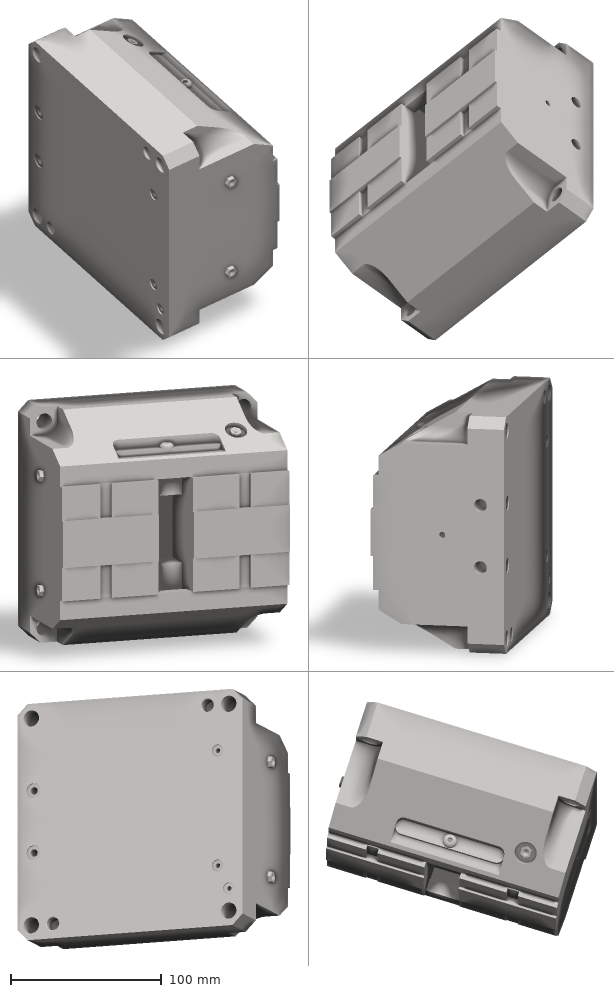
import cadquery as cq
import math

SIDE = 160.0
HALF = SIDE / 2
HEIGHT = 85.0
CORNER_CHAMFER = 7.3
SLOPE_START = 36.7
SLOPE_ANGLE = 30

BASE_THICKNESS = 24.8
BOLT_INSET = 10.0
BOLT_DIAMETER = 11.0
BOLT_RELIEF_RADIUS = 9.0
BOLT_OFFSET = HALF - BOLT_INSET

DRILL_POINT_ANGLE = 118
HOLE_DIAMETER = 8.6
FRONT_LOCATING_DEPTH = 9.8
FRONT_LOCATING_MOUTH = 9.5
FRONT_LOCATING_X = 55.0
SIDE_HOLE_DEPTH = 19.5
SIDE_HOLE_Y = 16.0
SIDE_HOLE_Z = 21.0
VENT_DIAMETER = 4.2
VENT_Y = 41.9
VENT_DEPTH = 4.9

SEAL_DEPTH = 1.0
LARGE_SEAL_DIAMETER = 10.0
LARGE_PORT_DIAMETER = 5.0
LARGE_PORT_X = -68.5
SMALL_SEAL_DIAMETER = 8.0
SMALL_PORT_DIAMETER = 3.3
SMALL_PORT_DEPTH = 6.5
SMALL_PORT_X = 62.1
AIR_Z = 39.0
CORNER_PORT_Z = -55.0

NIPPLE_ACROSS_FLATS = 6.8
NIPPLE_HEIGHT = 3.0
NIPPLE_BORE = 4.9
SIDE_NIPPLE_Y = 49.4
FLANK_NIPPLE_X = -50.9
FLANK_NIPPLE_Y = 64.9
FLANK_RECESS_DIAMETER = 15.0
FLANK_RECESS_DEPTH = 3.6

LEDGE_LENGTH = 75.3
LEDGE_Z = 53.6
PAD_Y = 70.7
PAD_WIDTH = 10.0
PAD_THICKNESS = 3.3
SCREW_DIAMETER = 9.5
SCREW_HEIGHT = 3.1
SCREW_LAND_DIAMETER = 4.9
SCREW_SOCKET = 3.3
SCREW_SOCKET_DEPTH = 2.0

JAW_INNER_X = 12.2
JAW_LENGTH = HALF - JAW_INNER_X
JAW_TOP = 88.7
JAW_NECK_WIDTH = 77.5
JAW_WING_WIDTH = 90.8
JAW_STEM_WIDTH = 46.5
WING_TOP = 76.3
WING_BOTTOM = 66.3
JAW_BOTTOM = 47.6
GUIDE_LIP_CHAMFER = 0.8
CROSS_NOTCH_X = 48.9
CROSS_NOTCH_WIDTH = 8.0
CROSS_NOTCH_FLOOR = 85.5

KEY_WIDTH = 31.6
KEY_TOP = 90.3
KEY_BOTTOM = 82.6


def box(x_range, y_range, z_range):
    """Box between pairs of X, Y and Z limits."""
    size = [high - low for low, high in (x_range, y_range, z_range)]
    corner = (x_range[0], y_range[0], z_range[0])
    return cq.Workplane("XY").box(*size, centered=False).translate(corner)


def drill_point(start, axis, diameter):
    """Cone left by a drill point, its base at the start point."""
    radius = diameter / 2
    length = radius / math.tan(math.radians(DRILL_POINT_ANGLE / 2))
    return cq.Solid.makeCone(radius, 0, length, start, axis)


def drill(point, direction, diameter, depth):
    """Tool for a blind hole with a conical bottom."""
    start = cq.Vector(*point)
    axis = cq.Vector(*direction)
    bore = cq.Solid.makeCylinder(diameter / 2, depth, start, axis)
    return cq.Workplane(bore.fuse(drill_point(start + axis * depth, axis, diameter)))


def round_cutter(point, direction, diameter, depth):
    """Tool for a flat-bottomed round hole."""
    return cq.Workplane(
        cq.Solid.makeCylinder(diameter / 2, depth, cq.Vector(*point), cq.Vector(*direction))
    )


def flank_z(y):
    """Height of the upper sloped flank at a given Y."""
    return HALF - (y - SLOPE_START) * math.tan(math.radians(SLOPE_ANGLE))


def guide_profile(top):
    """Closed T-shaped section in the YZ plane, shared by the guide and the jaws."""
    neck = JAW_NECK_WIDTH / 2
    wing = JAW_WING_WIDTH / 2
    stem = JAW_STEM_WIDTH / 2
    half_section = [
        (JAW_BOTTOM, stem),
        (WING_BOTTOM, stem),
        (WING_BOTTOM, wing),
        (WING_TOP, wing),
        (WING_TOP, neck + GUIDE_LIP_CHAMFER),
        (WING_TOP + GUIDE_LIP_CHAMFER, neck),
        (top, neck),
    ]
    mirrored = [(y, -z) for y, z in reversed(half_section)]
    return cq.Workplane("YZ").polyline(half_section + mirrored).close()


def housing_block():
    flank_top = flank_z(HEIGHT)
    section = [
        (0, -HALF),
        (SLOPE_START, -HALF),
        (HEIGHT, -flank_top),
        (HEIGHT, flank_top),
        (SLOPE_START, HALF),
        (0, HALF),
    ]
    block = cq.Workplane("YZ").polyline(section).close().extrude(HALF, both=True)
    outline = cq.Workplane("XZ").rect(SIDE, SIDE).extrude(-HEIGHT)
    return block.intersect(outline.edges("|Y").chamfer(CORNER_CHAMFER))


def bolt_cutter(x_sign, z_sign):
    """Bolt hole and the open relief above the base at one corner."""
    x = x_sign * BOLT_OFFSET
    z = z_sign * BOLT_OFFSET
    reach = BOLT_INSET + BOLT_RELIEF_RADIUS
    relief = (
        cq.Workplane("XZ", origin=(x_sign * HALF, BASE_THICKNESS, z_sign * HALF))
        .rect(2 * reach, 2 * reach)
        .extrude(-HEIGHT)
        .edges("|Y")
        .fillet(BOLT_RELIEF_RADIUS)
    )
    hole = round_cutter((x, 0, z), (0, 1, 0), BOLT_DIAMETER, HEIGHT)
    return relief.union(hole)


def locating_mouth(point):
    """45 degree chamfer at the mouth of a locating hole in the mounting face."""
    mouth = FRONT_LOCATING_MOUTH / 2
    cone = cq.Solid.makeCone(mouth, 0, mouth, cq.Vector(*point), cq.Vector(0, 1, 0))
    return cq.Workplane(cone)


def large_port_cutter(z):
    """Port with a seal recess, ending on the axis of a side hole."""
    start = (LARGE_PORT_X, 0, z)
    seal = round_cutter(start, (0, 1, 0), LARGE_SEAL_DIAMETER, SEAL_DEPTH)
    return seal.union(round_cutter(start, (0, 1, 0), LARGE_PORT_DIAMETER, SIDE_HOLE_Y))


def small_port_cutter(x, z):
    """Blind port with a seal recess."""
    start = (x, 0, z)
    seal = round_cutter(start, (0, 1, 0), SMALL_SEAL_DIAMETER, SEAL_DEPTH)
    return seal.union(drill(start, (0, 1, 0), SMALL_PORT_DIAMETER, SMALL_PORT_DEPTH))


def nipple(plane):
    """Hexagonal nipple standing on a plane, with a conical seat in its end."""
    across_corners = NIPPLE_ACROSS_FLATS / math.cos(math.radians(30))
    hexagon = cq.Workplane(plane).polygon(6, across_corners).extrude(NIPPLE_HEIGHT)
    end = plane.toWorldCoords((0, 0, NIPPLE_HEIGHT))
    seat = drill_point(end, -plane.zDir, NIPPLE_BORE)
    return hexagon.cut(cq.Workplane(seat))


def round_ended_block(height):
    """Round-ended block of the given height, standing on the ledge floor."""
    return (
        cq.Workplane("XY", origin=(0, PAD_Y, LEDGE_Z))
        .slot2D(LEDGE_LENGTH, PAD_WIDTH)
        .extrude(height)
    )


def ledge_cutter():
    """Ledge open towards the top of the flank, with rounded corners at its wall."""
    half_length = LEDGE_LENGTH / 2
    ledge = box((-half_length, half_length), (PAD_Y, HEIGHT), (LEDGE_Z, HALF))
    return ledge.union(round_ended_block(HALF - LEDGE_Z))


def button_screw():
    """Domed screw head with a hexagonal socket, standing on the pad."""
    floor = LEDGE_Z + PAD_THICKNESS
    top = floor + SCREW_HEIGHT
    radius = SCREW_DIAMETER / 2
    land = SCREW_LAND_DIAMETER / 2
    bulge = math.sqrt(0.5)
    dome_middle = (land + (radius - land) * bulge, floor + SCREW_HEIGHT * bulge)
    head = (
        cq.Workplane("XZ")
        .moveTo(0, floor)
        .lineTo(radius, floor)
        .threePointArc(dome_middle, (land, top))
        .lineTo(0, top)
        .close()
        .revolve(360, (0, 0), (0, 1))
        .translate((0, PAD_Y, 0))
    )
    socket = (
        cq.Workplane("XY", origin=(0, PAD_Y, top))
        .polygon(6, SCREW_SOCKET / math.cos(math.radians(30)))
        .extrude(-SCREW_SOCKET_DEPTH)
    )
    return head.cut(socket)


def make_housing():
    body = housing_block()
    body = body.cut(guide_profile(HEIGHT).extrude(HALF, both=True))

    for x_sign in (-1, 1):
        for z_sign in (-1, 1):
            body = body.cut(bolt_cutter(x_sign, z_sign))

    for sign in (-1, 1):
        front_point = (sign * FRONT_LOCATING_X, 0, sign * BOLT_OFFSET)
        hole = drill(front_point, (0, 1, 0), HOLE_DIAMETER, FRONT_LOCATING_DEPTH)
        body = body.cut(hole).cut(locating_mouth(front_point))

    for sign in (-1, 1):
        side_z = sign * SIDE_HOLE_Z
        side_point = (-HALF, SIDE_HOLE_Y, side_z)
        body = body.cut(drill(side_point, (1, 0, 0), HOLE_DIAMETER, SIDE_HOLE_DEPTH))
        body = body.cut(large_port_cutter(side_z))
    body = body.cut(drill((-HALF, VENT_Y, 0), (1, 0, 0), VENT_DIAMETER, VENT_DEPTH))

    for x, z in ((SMALL_PORT_X, AIR_Z), (SMALL_PORT_X, -AIR_Z), (BOLT_OFFSET, CORNER_PORT_Z)):
        body = body.cut(small_port_cutter(x, z))

    body = body.cut(ledge_cutter())
    body = body.union(round_ended_block(PAD_THICKNESS)).union(button_screw())

    angle = math.radians(SLOPE_ANGLE)
    normal = cq.Vector(0, math.sin(angle), math.cos(angle))
    down_slope = cq.Vector(0, math.cos(angle), -math.sin(angle))
    rim = cq.Vector(FLANK_NIPPLE_X, FLANK_NIPPLE_Y, flank_z(FLANK_NIPPLE_Y))
    recess_floor = rim - normal * FLANK_RECESS_DEPTH
    recess = round_cutter(
        rim.toTuple(), (-normal).toTuple(), FLANK_RECESS_DIAMETER, FLANK_RECESS_DEPTH
    )
    body = body.cut(recess).union(nipple(cq.Plane(recess_floor, down_slope, normal)))

    for sign in (-1, 1):
        seat = cq.Plane((HALF, SIDE_NIPPLE_Y, sign * AIR_Z), (0, 1, 0), (1, 0, 0))
        body = body.union(nipple(seat))
    return body


def jaw_x_range(sign):
    return tuple(sorted((sign * JAW_INNER_X, sign * HALF)))


def make_key(sign):
    half_width = KEY_WIDTH / 2
    return box(jaw_x_range(sign), (KEY_BOTTOM, KEY_TOP), (-half_width, half_width))


def make_jaw(sign):
    start = jaw_x_range(sign)[0]
    jaw = guide_profile(JAW_TOP).extrude(JAW_LENGTH).translate((start, 0, 0))
    notch_start = sign * CROSS_NOTCH_X - CROSS_NOTCH_WIDTH / 2
    notch = box(
        (notch_start, notch_start + CROSS_NOTCH_WIDTH),
        (CROSS_NOTCH_FLOOR, JAW_TOP),
        (-JAW_NECK_WIDTH / 2, JAW_NECK_WIDTH / 2),
    )
    return jaw.cut(notch).cut(make_key(sign))


housing = make_housing()
jaws = [make_jaw(sign) for sign in (-1, 1)]
keys = [make_key(sign) for sign in (-1, 1)]

result = cq.Compound.makeCompound([housing.val(), *[body.val() for body in jaws + keys]])